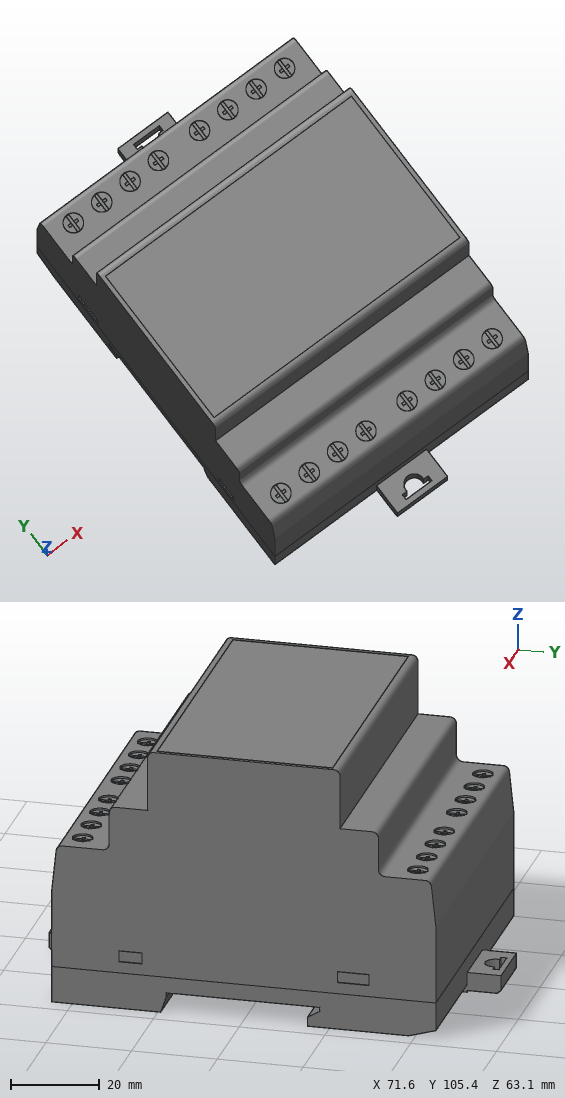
import cadquery as cq

WIDTH = 71.6
HEIGHT = 63.1
LENGTH = 105.4
BODY_LENGTH = 89.6
SPLIT_HEIGHT = 8.6

HALF_BODY = BODY_LENGTH / 2
TAPER_START_HEIGHT = 27.2
TERMINAL_HEIGHT = 38.3
HALF_TERMINAL = 43.6
MIDDLE_HEIGHT = 48.9
HALF_MIDDLE = 31.4
HALF_TOP = 22.4
STEP_RADIUS = 1.5
TOP_RADIUS = 1.5
INNER_RADIUS = 1.6

LABEL_MARGIN = 1.1
LABEL_LENGTH = 40.9
LABEL_DEPTH = 0.1

SCREWS_PER_GROUP = 4
SCREW_PITCH = 8.0
FIRST_SCREW_X = 5.8
SCREW_ROW_Y = 39.1
SCREW_DIAMETER = 4.6
SCREW_DEPTH = 0.4
LONG_SLOT_WIDTH = 0.7
LONG_SLOT_DEPTH = 0.4
CROSS_SLOT_LENGTH = 2.5
CROSS_SLOT_WIDTH = 0.6
CROSS_SLOT_DEPTH = 0.2

SNAP_WINDOWS = [(25.5, 7.4), (-26.5, 5.4)]
SNAP_CENTRE_HEIGHT = 12.6
SNAP_HEIGHT = 2.6
SNAP_DEPTH = 0.3

CHANNEL_HEIGHT = 4.8
HOOK_TIP_Y = 14.9
HOOK_ROOT_Y = 17.7
HOOK_TIP_HEIGHT = 2.2
HOOK_ROOT_HEIGHT = 3.9
STOP_ROOT_Y = -18.1
STOP_TIP_Y = -19.4
STOP_ROOT_HEIGHT = 3.7

SLOPE_LENGTH = 6.3
SLOPE_HEIGHT = 1.9

CLIP_WIDTH = 14.1
CLIP_BOTTOM = 0.4
CLIP_CHAMFER = 0.8
KEYHOLE_BAR_WIDTH = 7.3
KEYHOLE_BAR_LENGTH = 1.4
KEYHOLE_EDGE = 1.4
KEYHOLE_MOUTH_WIDTH = 4.6
KEYHOLE_TIP_LENGTH = 2.7


def extrude_across(points, width):
    """Closed (Y, Z) outline extruded along X, centred on X = 0."""
    return cq.Workplane("YZ").polyline(points).close().extrude(width / 2, both=True)


def edges_at(solid, half_y, z):
    """The two long edges along X at Y = +/-half_y and height z."""
    tolerance = 0.01
    picked = solid.newObject([])
    for y in (half_y, -half_y):
        picked = picked.add(solid.edges(cq.selectors.BoxSelector(
            (-WIDTH, y - tolerance, z - tolerance),
            (WIDTH, y + tolerance, z + tolerance),
        )))
    return picked


def housing_shell():
    right = [
        (HALF_BODY, SPLIT_HEIGHT),
        (HALF_BODY, TAPER_START_HEIGHT),
        (HALF_TERMINAL, TERMINAL_HEIGHT),
        (HALF_MIDDLE, TERMINAL_HEIGHT),
        (HALF_MIDDLE, MIDDLE_HEIGHT),
        (HALF_TOP, MIDDLE_HEIGHT),
        (HALF_TOP, HEIGHT),
    ]
    left = [(-y, z) for y, z in reversed(right)]
    shell = extrude_across(right + left, WIDTH)
    shell = edges_at(shell, HALF_TERMINAL, TERMINAL_HEIGHT).fillet(STEP_RADIUS)
    shell = edges_at(shell, HALF_MIDDLE, MIDDLE_HEIGHT).fillet(STEP_RADIUS)
    shell = edges_at(shell, HALF_MIDDLE, TERMINAL_HEIGHT).fillet(INNER_RADIUS)
    return edges_at(shell, HALF_TOP, HEIGHT).fillet(TOP_RADIUS)


def label_recess():
    return cq.Workplane("XY", origin=(0, 0, HEIGHT - LABEL_DEPTH)).rect(
        WIDTH - 2 * LABEL_MARGIN, LABEL_LENGTH).extrude(LABEL_DEPTH)


def screw_recess(x, y):
    """Round recess with a full-length slot and a shallower, short cross slot in its floor."""
    floor = TERMINAL_HEIGHT - SCREW_DEPTH
    screw_face = cq.Workplane("XY", origin=(x, y, floor))
    recess = screw_face.circle(SCREW_DIAMETER / 2).extrude(SCREW_DEPTH)
    long_slot = screw_face.rect(LONG_SLOT_WIDTH, SCREW_DIAMETER).extrude(-LONG_SLOT_DEPTH)
    cross_slot = screw_face.rect(CROSS_SLOT_LENGTH, CROSS_SLOT_WIDTH).extrude(-CROSS_SLOT_DEPTH)
    round_limit = screw_face.circle(SCREW_DIAMETER / 2).extrude(-LONG_SLOT_DEPTH)
    return recess.union(long_slot.intersect(round_limit)).union(cross_slot)


def snap_window(side, y, length):
    x = side * (WIDTH - SNAP_DEPTH) / 2
    return cq.Workplane("XY", origin=(x, y, SNAP_CENTRE_HEIGHT)).box(SNAP_DEPTH, length, SNAP_HEIGHT)


def make_housing():
    housing = housing_shell().cut(label_recess())
    for side in (-1, 1):
        for y, length in SNAP_WINDOWS:
            housing = housing.cut(snap_window(side, y, length))
        for index in range(SCREWS_PER_GROUP):
            x = side * (FIRST_SCREW_X + index * SCREW_PITCH)
            for y in (-SCREW_ROW_Y, SCREW_ROW_Y):
                housing = housing.cut(screw_recess(x, y))
    return housing


def slope_wedge(width):
    """Wedge under the sloped lower edge of the base on the +Y side."""
    return extrude_across([
        (HALF_BODY, 0),
        (HALF_BODY, SLOPE_HEIGHT),
        (HALF_BODY - SLOPE_LENGTH, 0),
    ], width)


def make_base():
    base = extrude_across([
        (HALF_BODY, 0),
        (HALF_BODY, SPLIT_HEIGHT),
        (-HALF_BODY, SPLIT_HEIGHT),
        (-HALF_BODY, 0),
        (STOP_TIP_Y, 0),
        (STOP_ROOT_Y, STOP_ROOT_HEIGHT),
        (STOP_ROOT_Y, CHANNEL_HEIGHT),
        (HOOK_ROOT_Y, CHANNEL_HEIGHT),
        (HOOK_ROOT_Y, HOOK_ROOT_HEIGHT),
        (HOOK_TIP_Y, HOOK_TIP_HEIGHT),
        (HOOK_TIP_Y, 0),
    ], WIDTH)
    return base.cut(slope_wedge(WIDTH))


def keyhole():
    """T-shaped screw opening of the +Y clip, bar outwards and rounded end inwards."""
    bar_outer = LENGTH / 2 - KEYHOLE_EDGE
    bar_inner = bar_outer - KEYHOLE_BAR_LENGTH
    tip_y = bar_inner - KEYHOLE_TIP_LENGTH
    return (
        cq.Workplane("XY")
        .moveTo(-KEYHOLE_BAR_WIDTH / 2, bar_outer)
        .lineTo(KEYHOLE_BAR_WIDTH / 2, bar_outer)
        .lineTo(KEYHOLE_BAR_WIDTH / 2, bar_inner)
        .lineTo(KEYHOLE_MOUTH_WIDTH / 2, bar_inner)
        .threePointArc((0, tip_y), (-KEYHOLE_MOUTH_WIDTH / 2, bar_inner))
        .lineTo(-KEYHOLE_BAR_WIDTH / 2, bar_inner)
        .close()
        .extrude(CHANNEL_HEIGHT)
    )


def make_clip():
    """Clip on the +Y face of the base."""
    clip = extrude_across([
        (HALF_BODY, CLIP_BOTTOM),
        (HALF_BODY, CHANNEL_HEIGHT),
        (LENGTH / 2, CHANNEL_HEIGHT),
        (LENGTH / 2, CLIP_BOTTOM + CLIP_CHAMFER),
        (LENGTH / 2 - CLIP_CHAMFER, CLIP_BOTTOM),
    ], CLIP_WIDTH)
    return clip.cut(keyhole())


housing = make_housing()
base = make_base()
front_clip = make_clip().mirror("XZ")
rear_clip = make_clip().union(slope_wedge(CLIP_WIDTH))

result = cq.Compound.makeCompound([
    housing.val(),
    base.val(),
    front_clip.val(),
    rear_clip.val(),
])